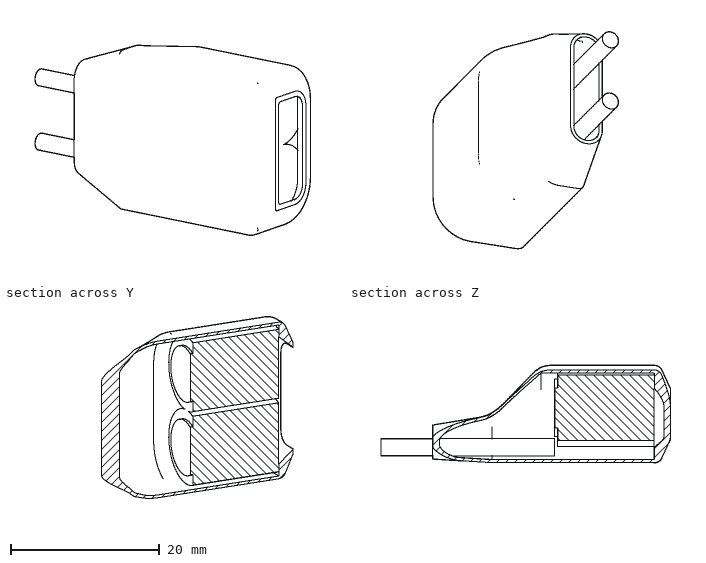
import cadquery as cq
import math

mouth_x = 7.0
neck_x = 14.98
main_x = 21.53
bevel_x = 37.5
end_x = 39.0

depth = 13.15
half_height = 11.095
top_radius = 5.65
bottom_radius = 0.78
wall = 0.45

neck_depth = 6.45
neck_radius = 3.12
mouth_bottom = 0.5
mouth_top = 5.1
mouth_half_height = 8.05
mouth_radius = 2.25
shoulder_blend = 3.12
blend_reach = 1.55

bevel_inset = 3.2
bevel_blend = 1.17
end_wall_x = 36.78
window_inset = 2.1
window_taper = 1.85

station_tolerance = 0.05

pin_radius = 1.17
pin_y = 2.1
pin_z = 4.5

cell_radius = 5.23
cell_z = 5.2
cell_clearance = 0.05
cell_y = depth - wall - cell_radius - cell_clearance
cell_start_x = 23.4
terminal_radius = 3.85
terminal_height = 0.4


def section(x, bottom, top, half, low_radius, high_radius):
    """Wire across X: a rectangle with one radius at its low-Y and another at its high-Y corners."""
    low_mid = low_radius * (1 - math.sqrt(0.5))
    high_mid = high_radius * (1 - math.sqrt(0.5))
    return (
        cq.Workplane("YZ", origin=(x, 0, 0))
        .moveTo(bottom + low_radius, -half)
        .lineTo(top - high_radius, -half)
        .threePointArc((top - high_mid, -half + high_mid), (top, -half + high_radius))
        .lineTo(top, half - high_radius)
        .threePointArc((top - high_mid, half - high_mid), (top - high_radius, half))
        .lineTo(bottom + low_radius, half)
        .threePointArc((bottom + low_mid, half - low_mid), (bottom, half - low_radius))
        .lineTo(bottom, -half + low_radius)
        .threePointArc((bottom + low_mid, -half + low_mid), (bottom + low_radius, -half))
        .close()
        .val()
    )


def main_section(x, inset):
    low_radius = max(bottom_radius - inset, bottom_radius / 2)
    return section(x, inset, depth - inset, half_height - inset, low_radius, top_radius - inset)


def ruled_loft(wires):
    return cq.Workplane(cq.Solid.makeLoft(wires, True))


def mix(start, end, fraction):
    return start + (end - start) * fraction


def mouth_to_neck(x, inset, lift=0):
    """Section between mouth and neck, with its top face raised by the given lift."""
    fraction = (x - mouth_x) / (neck_x - mouth_x)
    low_radius = mix(mouth_radius, bottom_radius, fraction)
    return section(
        x,
        mix(mouth_bottom, 0, fraction) + inset,
        mix(mouth_top, neck_depth, fraction) + lift - inset,
        mix(mouth_half_height, half_height, fraction) - inset,
        max(low_radius - inset, bottom_radius / 2),
        mix(mouth_radius, neck_radius, fraction) - inset,
    )


def neck_to_main(x, inset, lift=0):
    """Section between neck and main body, with its top face raised by the given lift."""
    fraction = (x - neck_x) / (main_x - neck_x)
    return section(
        x,
        inset,
        mix(neck_depth, depth, fraction) + lift - inset,
        half_height - inset,
        max(bottom_radius - inset, bottom_radius / 2),
        mix(neck_radius, top_radius, fraction) - inset,
    )


def blend_lift(x):
    """Parabola that rounds the concave bend of the top face, tangent to the slopes on both sides."""
    slope_change = (depth - neck_depth) / (main_x - neck_x) - (neck_depth - mouth_top) / (neck_x - mouth_x)
    distance = blend_reach - abs(x - neck_x)
    return slope_change * distance**2 / (4 * blend_reach)


def shell_form(inset, last_sections):
    """Mouth, neck and main body, offset inward by the given inset."""
    before = [neck_x - blend_reach * step for step in (1, 0.5, 0)]
    after = [neck_x + blend_reach * step for step in (0, 0.5, 1)]
    front = ruled_loft([mouth_to_neck(mouth_x, inset), mouth_to_neck(before[0], inset)])
    rise = cq.Solid.makeLoft([mouth_to_neck(x, inset, blend_lift(x)) for x in before])
    shoulder = cq.Solid.makeLoft([neck_to_main(x, inset, blend_lift(x)) for x in after])
    rear = ruled_loft([neck_to_main(after[-1], inset), main_section(main_x, inset)] + last_sections)
    return front.union(cq.Workplane(rise)).union(cq.Workplane(shoulder)).union(rear)


def make_pin(z):
    return cq.Workplane("YZ").center(pin_y, z).circle(pin_radius).extrude(cell_start_x)


def make_cell_pack():
    centers = [(cell_y, -cell_z), (cell_y, cell_z)]
    start = cell_start_x + terminal_height
    cells = (
        cq.Workplane("YZ", origin=(start, 0, 0))
        .pushPoints(centers).circle(cell_radius).extrude(end_wall_x - start)
    )
    terminals = (
        cq.Workplane("YZ", origin=(cell_start_x, 0, 0))
        .pushPoints(centers).circle(terminal_radius).extrude(terminal_height)
    )
    return cells.union(terminals)


def edges_at(body, x):
    """Edges of the section at the given station."""
    return body.edges(cq.selectors.BoxSelector(
        (x - station_tolerance, -depth, -2 * half_height),
        (x + station_tolerance, 2 * depth, 2 * half_height),
    ))


def make_housing(pins):
    outer = shell_form(0, [main_section(bevel_x, 0), main_section(end_x, bevel_inset)])
    outer = edges_at(outer, bevel_x).fillet(bevel_blend)
    outer = edges_at(outer, main_x).fillet(shoulder_blend)
    cavity = shell_form(wall, [main_section(end_wall_x, wall)])
    window = ruled_loft([
        main_section(end_wall_x, window_inset),
        main_section(end_x, window_inset + window_taper),
    ])
    housing = outer.cut(cavity).cut(window)
    for pin in pins:
        housing = housing.cut(pin)
    return housing


pins = [make_pin(z) for z in (-pin_z, pin_z)]
cell_pack = make_cell_pack()
housing = make_housing(pins)

result = cq.Compound.makeCompound([housing.val(), cell_pack.val(), *[pin.val() for pin in pins]])